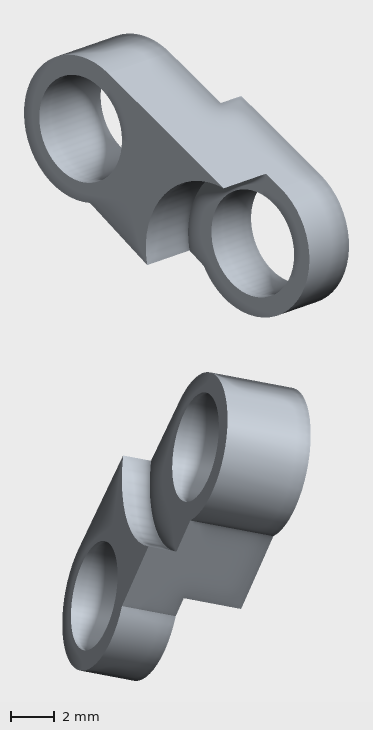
import cadquery as cq
import math

length = 14.99
width = 5.6
height = 11.45

eye_radius = 3.5
bore_diameter = 5.1
eye_x = length / 2 - eye_radius
eye_z = height / 2 - eye_radius
upper_eye = (-eye_x, eye_z)
lower_eye = (eye_x, -eye_z)

web_slope = math.atan2(eye_z, eye_x)
web_start_angle = -80.5
web_end_angle = 210.0

back_relief_depth = 1.41
back_relief_radius = 4.99
back_relief_rise = 0.13
front_relief_depth = 2.9
front_relief_radius = 3.99
front_relief_drop = 0.36

front_face = -width / 2
back_face = width / 2
back_step = back_face - back_relief_depth
front_step = front_face + front_relief_depth


def rim_point(center, angle):
    """Point on the rim of an eye at an angle in radians from +X."""
    x, z = center
    return (x + eye_radius * math.cos(angle), z + eye_radius * math.sin(angle))


def cylinder(center, radius, front, back):
    """Cylinder along Y between the planes y = front and y = back."""
    return (
        cq.Workplane("XZ", origin=(0, front, 0))
        .center(*center)
        .circle(radius)
        .extrude(front - back)
    )


def eye(center, front, back):
    return cylinder(center, eye_radius, front, back)


def web():
    tangent_angle = math.pi / 2 - web_slope
    outline = [
        upper_eye,
        rim_point(upper_eye, tangent_angle),
        rim_point(lower_eye, tangent_angle),
        lower_eye,
        rim_point(lower_eye, math.radians(web_end_angle)),
        rim_point(upper_eye, math.radians(web_start_angle)),
    ]
    return cq.Workplane("XZ", origin=(0, front_face, 0)).polyline(outline).close().extrude(-width)


link = web().union(eye(upper_eye, front_face, back_face)).union(eye(lower_eye, front_face, back_face))

back_center = (upper_eye[0], upper_eye[1] + back_relief_rise)
link = link.cut(cylinder(back_center, back_relief_radius, back_step, back_face))
front_center = (lower_eye[0], lower_eye[1] - front_relief_drop)
link = link.cut(cylinder(front_center, front_relief_radius, front_face, front_step))

for center in (upper_eye, lower_eye):
    link = link.cut(cylinder(center, bore_diameter / 2, front_face, back_face))

result = link